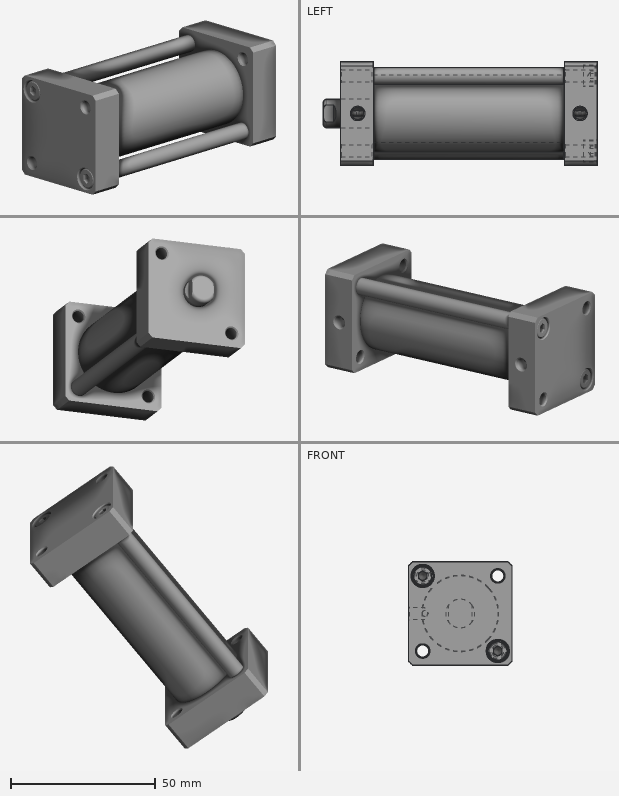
import cadquery as cq
import math

TOTAL_LENGTH = 95.0
CAP_SIDE = 36.0
CAP_LENGTH = 11.4
CAP_CORNER_CHAMFER = 1.5
ROD_PROJECTION = 6.0
BARREL_DIAMETER = 26.6
BARREL_END_CHAMFER = 0.2

BARREL_START = CAP_LENGTH
FRONT_CAP_END = TOTAL_LENGTH - ROD_PROJECTION
FRONT_CAP_START = FRONT_CAP_END - CAP_LENGTH

CORNER_OFFSET = 13.0
THREAD_HOLE_DIAMETER = 4.2
THREAD_MOUTH_DIAMETER = 5.0
OPEN_CORNERS = [(CORNER_OFFSET, CORNER_OFFSET), (-CORNER_OFFSET, -CORNER_OFFSET)]
BOLT_CORNERS = [(-CORNER_OFFSET, CORNER_OFFSET), (CORNER_OFFSET, -CORNER_OFFSET)]

TIE_COLUMN_DIAMETER = 6.0
TIE_COLUMN_CHAMFER = 0.3
BOLT_SHANK_DIAMETER = THREAD_HOLE_DIAMETER
BOLT_HEAD_DIAMETER = 7.0
BOLT_HEAD_FACE_DIAMETER = 6.3
BOLT_HEAD_RECESS = 0.5
COUNTERBORE_DIAMETER = 7.5
COUNTERBORE_MOUTH_DIAMETER = 8.1
COUNTERBORE_DEPTH = 4.75
HEX_ACROSS_FLATS = 3.0
HALF_HEX_SIDE_ANGLE = 30
HEX_DEPTH = 1.9
HEX_CONE_HEIGHT = 0.95

PORT_OFFSET = 6.0
PORT_DEPTH = 5.7
PORT_CONE_HEIGHT = 1.2
PORT_BAR_DIAMETER = 2.0

ROD_DIAMETER = 10.0
ROD_END_FILLET = 1.2
ROD_ACROSS_FLATS = 8.0
ROD_FLAT_LENGTH = 3.5


def revolved(profile, x=0.0, z=0.0):
    """Solid of revolution about the Y direction through (x, z), from (radius, y) points."""
    return cq.Workplane("XY").polyline(profile).close().revolve(360, (0, 0), (0, 1)).translate((x, 0, z))


def cylinder(diameter, y_start, y_end, x=0.0, z=0.0):
    """Cylinder along Y through (x, z)."""
    radius = diameter / 2
    return revolved([(0, y_start), (radius, y_start), (radius, y_end), (0, y_end)], x, z)


def thread_hole(y_start, y_end, x, z):
    """Cutter for a through hole with a 45 degree countersink at both mouths."""
    radius = THREAD_HOLE_DIAMETER / 2
    mouth = THREAD_MOUTH_DIAMETER / 2
    sink = mouth - radius
    return revolved(
        [
            (0, y_start),
            (mouth, y_start),
            (radius, y_start + sink),
            (radius, y_end - sink),
            (mouth, y_end),
            (0, y_end),
        ],
        x,
        z,
    )


def port(y_center):
    """Cutter for a port drilled from the -X face; it leaves a round bar standing across its bottom."""
    radius = THREAD_HOLE_DIAMETER / 2
    mouth = THREAD_MOUTH_DIAMETER / 2
    drill = revolved(
        [
            (0, 0),
            (mouth, 0),
            (radius, mouth - radius),
            (radius, PORT_DEPTH),
            (0, PORT_DEPTH + PORT_CONE_HEIGHT),
        ]
    )
    drill = drill.rotate((0, 0, 0), (0, 0, 1), -90).translate((-CAP_SIDE / 2, y_center, 0))
    bar = cylinder(
        PORT_BAR_DIAMETER,
        y_center - THREAD_MOUTH_DIAMETER,
        y_center + THREAD_MOUTH_DIAMETER,
        x=PORT_DEPTH - CAP_SIDE / 2,
    )
    return drill.cut(bar)


def cap_block(y_start, port_y):
    """Square cap with chamfered long corners, two open corner holes and a side port."""
    y_end = y_start + CAP_LENGTH
    block = (
        cq.Workplane("XY")
        .box(CAP_SIDE, CAP_LENGTH, CAP_SIDE, centered=(True, False, True))
        .edges("|Y")
        .chamfer(CAP_CORNER_CHAMFER)
        .translate((0, y_start, 0))
    )
    for x, z in OPEN_CORNERS:
        block = block.cut(thread_hole(y_start, y_end, x, z))
    return block.cut(port(port_y))


def bolt_pocket(x, z):
    """Cutter for the counterbore with its chamfered mouth and the shank clearance behind it."""
    shank = BOLT_SHANK_DIAMETER / 2
    bore = COUNTERBORE_DIAMETER / 2
    mouth = COUNTERBORE_MOUTH_DIAMETER / 2
    return revolved(
        [
            (0, 0),
            (mouth, 0),
            (bore, mouth - bore),
            (bore, COUNTERBORE_DEPTH),
            (shank, COUNTERBORE_DEPTH),
            (shank, CAP_LENGTH),
            (0, CAP_LENGTH),
        ],
        x,
        z,
    )


def make_rear_cap():
    cap = cap_block(0.0, PORT_OFFSET)
    for x, z in BOLT_CORNERS:
        cap = cap.cut(bolt_pocket(x, z))
    return cap


def make_front_cap():
    rod_bore = cylinder(ROD_DIAMETER, FRONT_CAP_START, FRONT_CAP_END)
    return cap_block(FRONT_CAP_START, FRONT_CAP_END - PORT_OFFSET).cut(rod_bore)


def make_barrel():
    barrel = cylinder(BARREL_DIAMETER, BARREL_START, FRONT_CAP_START)
    return barrel.faces("<Y or >Y").chamfer(BARREL_END_CHAMFER)


def hex_socket(x, z):
    """Cutter for the hexagon socket, which ends in a shallow cone."""
    socket_end = BOLT_HEAD_RECESS + HEX_DEPTH
    corner_diameter = HEX_ACROSS_FLATS / math.cos(math.radians(HALF_HEX_SIDE_ANGLE))
    hexagon = (
        cq.Workplane("XZ")
        .transformed(rotate=(0, 0, HALF_HEX_SIDE_ANGLE))
        .polygon(6, corner_diameter)
        .extrude(-HEX_DEPTH)
        .translate((x, BOLT_HEAD_RECESS, z))
    )
    cone = revolved(
        [(0, socket_end), (HEX_ACROSS_FLATS / 2, socket_end), (0, socket_end + HEX_CONE_HEIGHT)], x, z
    )
    return hexagon.union(cone)


def make_tie_bolt(x, z):
    """Socket head in the rear cap, shank through it and a thicker column between the two caps."""
    head = BOLT_HEAD_DIAMETER / 2
    head_face = BOLT_HEAD_FACE_DIAMETER / 2
    shank = BOLT_SHANK_DIAMETER / 2
    column = TIE_COLUMN_DIAMETER / 2
    column_face = column - TIE_COLUMN_CHAMFER
    bolt = revolved(
        [
            (0, BOLT_HEAD_RECESS),
            (head_face, BOLT_HEAD_RECESS),
            (head, BOLT_HEAD_RECESS + head - head_face),
            (head, COUNTERBORE_DEPTH),
            (shank, COUNTERBORE_DEPTH),
            (shank, BARREL_START),
            (column_face, BARREL_START),
            (column, BARREL_START + TIE_COLUMN_CHAMFER),
            (column, FRONT_CAP_START - TIE_COLUMN_CHAMFER),
            (column_face, FRONT_CAP_START),
            (0, FRONT_CAP_START),
        ],
        x,
        z,
    )
    return bolt.cut(hex_socket(x, z))


def wrench_flat():
    """Cutter for the flat on the +X side of the rod end; its inner end slopes out at 45 degrees."""
    flat = ROD_ACROSS_FLATS / 2
    outside = ROD_DIAMETER
    flat_end = TOTAL_LENGTH - ROD_FLAT_LENGTH
    return (
        cq.Workplane("XY")
        .polyline(
            [
                (flat, TOTAL_LENGTH),
                (flat, flat_end),
                (outside, flat_end - (outside - flat)),
                (outside, TOTAL_LENGTH),
            ]
        )
        .close()
        .extrude(ROD_DIAMETER / 2, both=True)
    )


def make_piston_rod():
    rod = cylinder(ROD_DIAMETER, FRONT_CAP_START, TOTAL_LENGTH)
    rod = rod.faces(">Y").edges().fillet(ROD_END_FILLET)
    flat = wrench_flat()
    return rod.cut(flat).cut(flat.mirror("YZ"))


rear_cap = make_rear_cap()
front_cap = make_front_cap()
barrel = make_barrel()
piston_rod = make_piston_rod()
tie_bolts = [make_tie_bolt(x, z) for x, z in BOLT_CORNERS]

result = cq.Compound.makeCompound(
    [rear_cap.val(), front_cap.val(), barrel.val(), piston_rod.val(), *[bolt.val() for bolt in tie_bolts]]
)